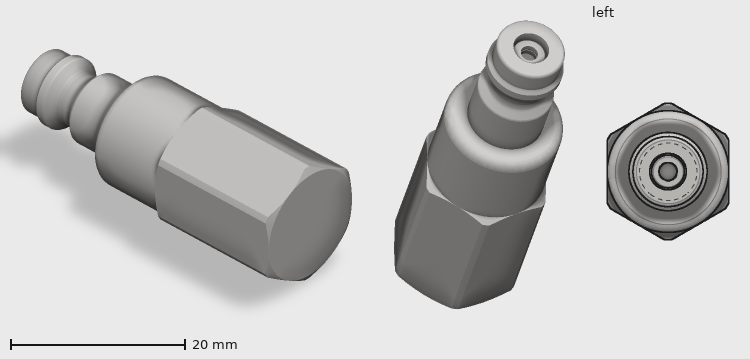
import cadquery as cq
import math

total_length = 42.0
rim_start = 2.6
rim_end = 4.1
neck_start = 5.35
neck_end = 7.1
shank_start = 8.27
shoulder_start = 13.95
hex_start = 24.05

tip_radius = 8.05 / 2
plug_radius = 9.0 / 2
neck_radius = 6.6 / 2
tip_fillet = 0.38
rim_chamfer = plug_radius - tip_radius
neck_fillet = 0.92
plug_edge_fillet = 0.35

across_flats = 14.0
body_radius = across_flats / 2
across_corners = 15.7
shoulder_slope = 5.0
shoulder_fillet = 1.0
hex_chamfer_angle = 30.0

bore_radius = 4.2 / 2
bore_depth = 2.0
poppet_radius = 3.8 / 2
poppet_recess = 1.0
poppet_fillet = 0.15
pilot_radius = 2.0 / 2
pilot_depth = 1.5
groove_radius = 1.1
groove_offset = 0.55
groove_width = 0.3


def revolve_about_x(points):
    """Revolve a closed (x, radius) outline about the X axis."""
    return cq.Workplane("XY").polyline(points).close().revolve(360, (0, 0, 0), (1, 0, 0))


def circle_edges(solid, x, radius):
    """Select the circular edge centred on the axis at x with the given radius."""
    tolerance = 0.005
    reach = radius + tolerance
    box = cq.selectors.BoxSelector(
        (x - tolerance, -reach, -reach), (x + tolerance, reach, reach), boundingbox=True
    )
    edges = solid.edges(box)
    return edges.filter(lambda edge: edge.geomType() == "CIRCLE" and abs(edge.radius() - radius) < tolerance)


def make_turned_body():
    """Plug with its grooved neck, and the round body behind it."""
    shoulder_edge = shoulder_start + (body_radius - plug_radius) * math.tan(math.radians(shoulder_slope))
    body = revolve_about_x([
        (0, 0),
        (0, tip_radius),
        (rim_start, tip_radius),
        (rim_start + rim_chamfer, plug_radius),
        (rim_end, plug_radius),
        (neck_start, neck_radius),
        (neck_end, neck_radius),
        (shank_start, plug_radius),
        (shoulder_start, plug_radius),
        (shoulder_edge, body_radius),
        (total_length, body_radius),
        (total_length, 0),
    ])
    rounded_corners = [
        (0, tip_radius, tip_fillet),
        (rim_end, plug_radius, plug_edge_fillet),
        (neck_start, neck_radius, neck_fillet),
        (neck_end, neck_radius, neck_fillet),
        (shank_start, plug_radius, plug_edge_fillet),
        (shoulder_edge, body_radius, shoulder_fillet),
    ]
    for x, radius, fillet in rounded_corners:
        body = circle_edges(body, x, radius).fillet(fillet)
    return body


def make_hexagon():
    """Hexagon with corners up and down, turned to the corner diameter and chamfered at both ends."""
    sharp_corners = across_flats / math.cos(math.radians(30))
    prism = (
        cq.Workplane("YZ", origin=(hex_start, 0, 0))
        .transformed(rotate=(0, 0, 90))
        .polygon(6, sharp_corners)
        .extrude(total_length - hex_start)
    )
    corner_radius = across_corners / 2
    chamfer_length = (corner_radius - body_radius) * math.tan(math.radians(hex_chamfer_angle))
    turned_limit = revolve_about_x([
        (hex_start, 0),
        (hex_start, body_radius),
        (hex_start + chamfer_length, corner_radius),
        (total_length - chamfer_length, corner_radius),
        (total_length, body_radius),
        (total_length, 0),
    ])
    return prism.intersect(turned_limit)


def make_bore():
    """Blind bore opening at the tip."""
    return cq.Workplane("YZ").circle(bore_radius).extrude(bore_depth)


def make_poppet():
    """Poppet rising from the bore floor, with a rounded rim."""
    return (
        cq.Workplane("YZ", origin=(poppet_recess, 0, 0))
        .circle(poppet_radius)
        .extrude(bore_depth - poppet_recess)
        .faces("<X")
        .edges()
        .fillet(poppet_fillet)
    )


def make_pilot():
    """Blind pilot hole in the poppet face, with a shallow groove in its wall."""
    hole = cq.Workplane("YZ", origin=(poppet_recess, 0, 0)).circle(pilot_radius).extrude(pilot_depth)
    groove_start = poppet_recess + groove_offset
    groove = cq.Workplane("YZ", origin=(groove_start, 0, 0)).circle(groove_radius).extrude(groove_width)
    return hole.union(groove)


result = (
    make_turned_body()
    .union(make_hexagon())
    .cut(make_bore())
    .union(make_poppet())
    .cut(make_pilot())
)